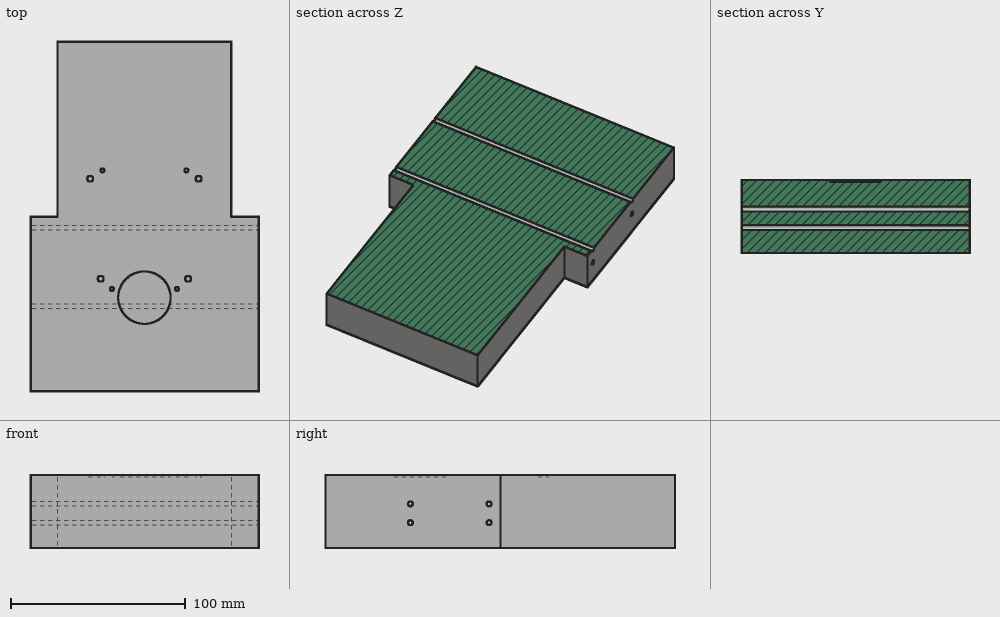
import cadquery as cq

length = 200.2
height = 42.0
front_width = 130.5
rear_width = 99.7
center_x = -0.2
block_length = length / 2

recess_diameter = 30.0
recess_depth = 1.2
recess_y = -46.5

large_hole_diameter = 3.5
small_hole_diameter = 2.2
top_hole_depth = recess_depth
large_hole_pairs = [(31.0, 21.6), (25.0, -35.6)]
small_hole_pairs = [(24.0, 26.5), (18.6, -41.5)]

cross_hole_diameter = 2.6
cross_hole_rows_y = (-6.5, -51.5)
cross_hole_heights = (14.6, 25.5)


def block(width, x, y):
    """Full-height block standing on Z = 0."""
    return (
        cq.Workplane("XY")
        .center(x, y)
        .rect(width, block_length)
        .extrude(height)
    )


def top_cutter(points, diameter, depth):
    """Cylinders reaching down from the top face."""
    return (
        cq.Workplane("XY", origin=(center_x, 0, height))
        .pushPoints(points)
        .circle(diameter / 2)
        .extrude(-depth)
    )


def mirrored(pairs):
    """Both positions of every hole pair."""
    return [(side * x, y) for x, y in pairs for side in (-1, 1)]


def cross_cutter():
    """Cylinders along X that pass through the whole front block."""
    points = [(y, z) for y in cross_hole_rows_y for z in cross_hole_heights]
    return (
        cq.Workplane("YZ")
        .pushPoints(points)
        .circle(cross_hole_diameter / 2)
        .extrude(front_width, both=True)
    )


front_block = block(front_width, 0, -block_length / 2)
rear_block = block(rear_width, center_x, block_length / 2)
body = front_block.union(rear_block)

result = (
    body
    .cut(top_cutter([(0, recess_y)], recess_diameter, recess_depth))
    .cut(top_cutter(mirrored(large_hole_pairs), large_hole_diameter, top_hole_depth))
    .cut(top_cutter(mirrored(small_hole_pairs), small_hole_diameter, top_hole_depth))
    .cut(cross_cutter())
)